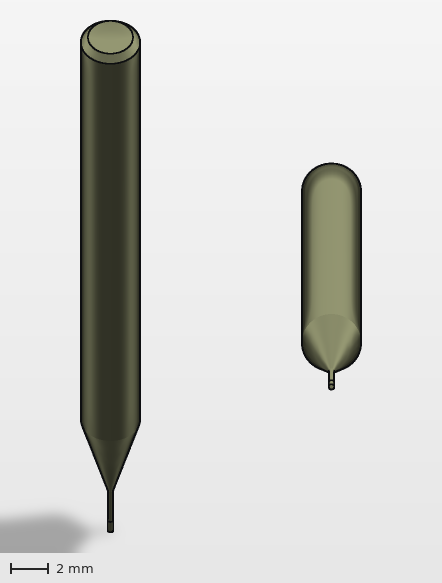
import cadquery as cq

total_length = 38.1
shank_diameter = 3.15
shank_chamfer = 0.4

cutter_length = 0.8
relief_height = 0.1
neck_top = 3.1
taper_top = 8.57

cutter_diameter = 0.3
neck_diameter = 0.282

shank_radius = shank_diameter / 2
cutter_radius = cutter_diameter / 2
neck_radius = neck_diameter / 2


def make_shank():
    """Chamfered shank, taper and neck, turned about Z as one body."""
    profile = [
        (0, cutter_length),
        (cutter_radius, cutter_length),
        (neck_radius, cutter_length + relief_height),
        (neck_radius, neck_top),
        (shank_radius, taper_top),
        (shank_radius, total_length - shank_chamfer),
        (shank_radius - shank_chamfer, total_length),
        (0, total_length),
    ]
    outline = cq.Workplane("XZ").polyline(profile).close()
    return outline.revolve(360, (0, 0, 0), (0, 1, 0))


def make_cutter():
    """Plain cylindrical cutting tip, butted against the end of the neck."""
    return cq.Workplane("XY").circle(cutter_radius).extrude(cutter_length)


shank = make_shank()
cutter = make_cutter()

result = cq.Compound.makeCompound([shank.val(), cutter.val()])